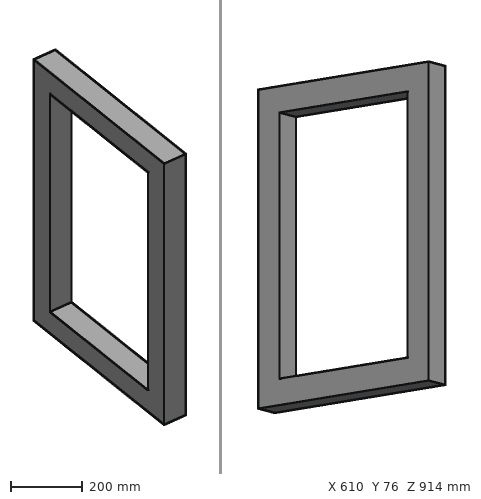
import cadquery as cq

height = 914.0
width = 610.0
bar = 76.0

opening_width = width - 2 * bar
opening_height = height - 2 * bar

frame = cq.Workplane("XY").box(width, bar, height)
opening = cq.Workplane("XY").box(opening_width, bar, opening_height)

result = frame.cut(opening)